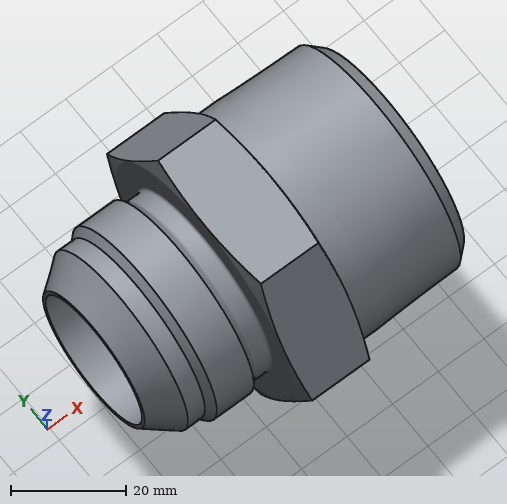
import cadquery as cq
import math

length = 64.8
nose_end = 5.95
collar_start = 9.65
collar_full = 11.15
collar_fall = 19.25
hex_start = 24.3
hex_end = 39.05
shoulder_end = 44.2
taper_end = 62.2

bore_radius = 27.4 / 2
nose_radius = 14.5
neck_radius = 38.15 / 2
collar_radius = 41.05 / 2
shoulder_radius = 48.5 / 2
taper_end_radius = 23.7
tail_radius = 21.4

across_flats = 50.6
across_corners = across_flats / math.cos(math.pi / 6)
hex_face_inset = 0.1
hex_face_radius = across_flats / 2 - hex_face_inset
hex_chamfer_angle = math.radians(15)

collar_fillet = 1.0
neck_root_fillet = 0.6
shoulder_root_fillet = 0.3

collar_drop = collar_radius - neck_radius
collar_end = collar_fall + collar_drop
blend_reach = collar_fillet * math.tan(math.pi / 8)
blend_end = collar_end + blend_reach
blend_rise = blend_reach * math.sin(math.pi / 4)
blend_start = (collar_end - blend_rise, neck_radius + blend_rise)
blend_middle = (
    blend_end - collar_fillet * math.sin(math.pi / 8),
    neck_radius + collar_fillet * (1 - math.cos(math.pi / 8)),
)

quarter_arc_inset = 1 - math.sin(math.pi / 4)
neck_inset = neck_root_fillet * quarter_arc_inset
shoulder_inset = shoulder_root_fillet * quarter_arc_inset

body = (
    cq.Workplane("XY")
    .lineTo(0, nose_radius)
    .lineTo(nose_end, neck_radius)
    .lineTo(collar_start, neck_radius)
    .lineTo(collar_full, collar_radius)
    .lineTo(collar_fall, collar_radius)
    .lineTo(*blend_start)
    .threePointArc(blend_middle, (blend_end, neck_radius))
    .lineTo(hex_start - neck_root_fillet, neck_radius)
    .threePointArc(
        (hex_start - neck_inset, neck_radius + neck_inset),
        (hex_start, neck_radius + neck_root_fillet),
    )
    .lineTo(hex_end, shoulder_radius + shoulder_root_fillet)
    .threePointArc(
        (hex_end + shoulder_inset, shoulder_radius + shoulder_inset),
        (hex_end + shoulder_root_fillet, shoulder_radius),
    )
    .lineTo(shoulder_end, shoulder_radius)
    .lineTo(taper_end, taper_end_radius)
    .lineTo(length, tail_radius)
    .lineTo(length, 0)
    .close()
    .revolve(360, (0, 0, 0), (1, 0, 0))
)

corner_radius = across_corners / 2
chamfer_depth = (corner_radius - hex_face_radius) * math.tan(hex_chamfer_angle)
hexagon = (
    cq.Workplane("YZ", origin=(hex_start, 0, 0))
    .polygon(6, across_corners)
    .extrude(hex_end - hex_start)
)
hex_envelope = (
    cq.Workplane("XY")
    .moveTo(hex_start, 0)
    .lineTo(hex_start, hex_face_radius)
    .lineTo(hex_start + chamfer_depth, corner_radius)
    .lineTo(hex_end - chamfer_depth, corner_radius)
    .lineTo(hex_end, hex_face_radius)
    .lineTo(hex_end, 0)
    .close()
    .revolve(360, (0, 0, 0), (1, 0, 0))
)

bore = cq.Workplane("YZ").circle(bore_radius).extrude(length)

result = body.union(hexagon.intersect(hex_envelope)).cut(bore)